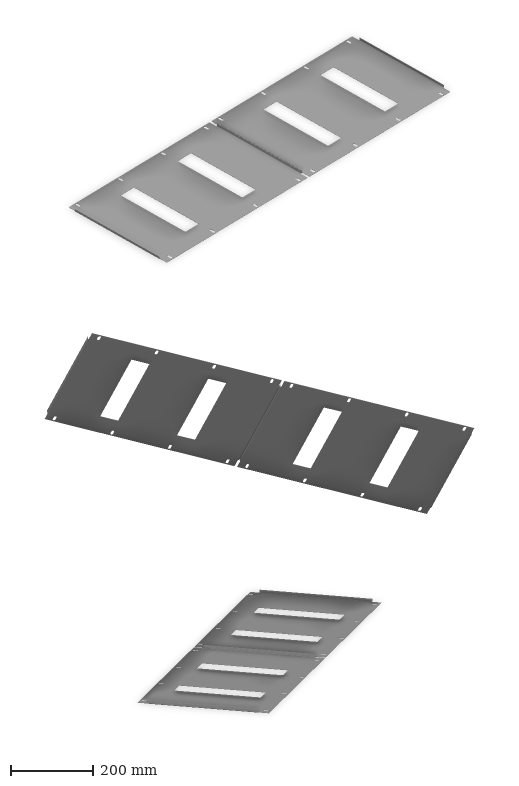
import cadquery as cq

total_length = 998.0
width = 332.0
height = 8.0
panel_gap = 2.0
sheet = 1.0

panel_length = (total_length - panel_gap) / 2
panel_pitch = panel_length + panel_gap
flange_length = 285.0
inner_bend_radius = 1.0
outer_bend_radius = inner_bend_radius + sheet
edge_setback = 2.5
flat_length = panel_length - 2 * edge_setback

window_width = 220.0
window_height = 47.0
window_pitch = 200.0

slot_length = 15.0
slot_width = 7.0
slot_edge_distance = 11.0
slot_pitch = 150.0
slots_per_edge = 4


def make_flanged_sheet():
    """Flat sheet whose Y ends carry a narrower upturned flange with a rounded bend."""
    flat = cq.Workplane("XY").box(width, flat_length, sheet, centered=(True, True, False))
    tray = (
        cq.Workplane("XY")
        .box(flange_length, panel_length, height, centered=(True, True, False))
        .faces("<Z").edges("|X").fillet(outer_bend_radius)
    )
    channel = (
        cq.Workplane("XY", origin=(0, 0, sheet))
        .box(flange_length, panel_length - 2 * sheet, height, centered=(True, True, False))
        .faces("<Z").edges("|X").fillet(inner_bend_radius)
    )
    return flat.union(tray.cut(channel))


def make_windows():
    return (
        cq.Workplane("XY")
        .rarray(10, window_pitch, 1, 2)
        .rect(window_width, window_height)
        .extrude(sheet)
    )


def make_slots():
    slot_row_spacing = width - 2 * slot_edge_distance
    return (
        cq.Workplane("XY")
        .rarray(slot_row_spacing, slot_pitch, 2, slots_per_edge)
        .slot2D(slot_length, slot_width)
        .extrude(sheet)
    )


def make_panel(center_y):
    panel = make_flanged_sheet().cut(make_windows()).cut(make_slots())
    return panel.translate((0, center_y, 0))


panels = [make_panel(side * panel_pitch / 2) for side in (-1, 1)]

result = cq.Compound.makeCompound([panel.val() for panel in panels])